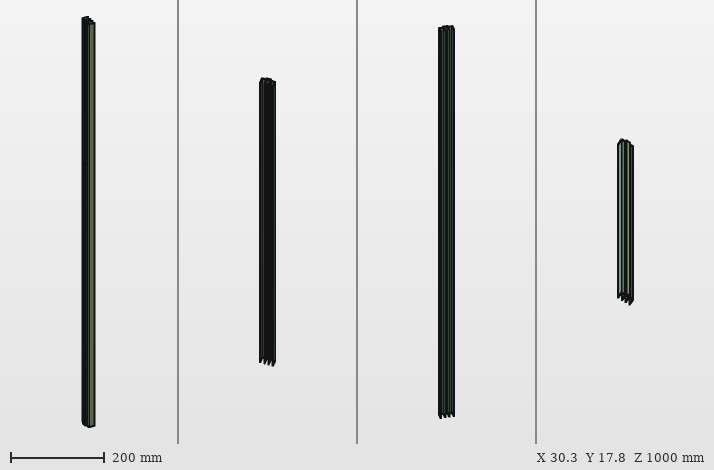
import cadquery as cq

WIDTH = 30.3
DEPTH = 17.8
LENGTH = 1000.0

WALL = 1.5
KEEL_DEPTH = 3.3
KEEL_WIDTH = 10.4
GROOVE_DEPTH = 0.3
CORNER_RADIUS = 0.75

OPEN_EDGE = DEPTH / 2
KEEL_FACE = -DEPTH / 2
WEB_OUTSIDE = KEEL_FACE + KEEL_DEPTH
WEB_INSIDE = WEB_OUTSIDE + WALL

RIB_GAP = KEEL_WIDTH - 2 * WALL
SIDE_SLOT_WIDTH = (WIDTH - KEEL_WIDTH) / 2 - WALL
SIDE_SLOT_OFFSET = (KEEL_WIDTH + SIDE_SLOT_WIDTH) / 2


def bar(x_center, width, y_min, y_max):
    """Rectangular bar running the full length, centred on mid-length."""
    section = cq.Workplane("XY", origin=(x_center, (y_min + y_max) / 2, -LENGTH / 2))
    return section.rect(width, y_max - y_min).extrude(LENGTH)


def body_with_keel():
    """Solid block with rounded outer corners and a keel blended into its -Y side."""
    block = bar(0, WIDTH, WEB_OUTSIDE, OPEN_EDGE).edges("|Z and <Y").fillet(CORNER_RADIUS)
    body = block.union(bar(0, KEEL_WIDTH, KEEL_FACE, WEB_INSIDE))
    root_points = [(side * KEEL_WIDTH / 2, WEB_OUTSIDE, 0) for side in (-1, 1)]
    for point in root_points:
        body = body.edges(cq.selectors.NearestToPointSelector(point)).fillet(CORNER_RADIUS)
    return body


def cut_slots(body):
    """Cut the three slots that leave two side walls and two ribs standing on the web."""
    body = body.cut(bar(0, RIB_GAP, WEB_INSIDE, OPEN_EDGE))
    for side in (-1, 1):
        body = body.cut(bar(side * SIDE_SLOT_OFFSET, SIDE_SLOT_WIDTH, WEB_INSIDE, OPEN_EDGE))
    return body


def cut_keel_groove(body):
    """Relieve the middle of the keel face, leaving a narrow foot in line with each rib."""
    return body.cut(bar(0, RIB_GAP, KEEL_FACE, KEEL_FACE + GROOVE_DEPTH))


result = cut_keel_groove(cut_slots(body_with_keel()))